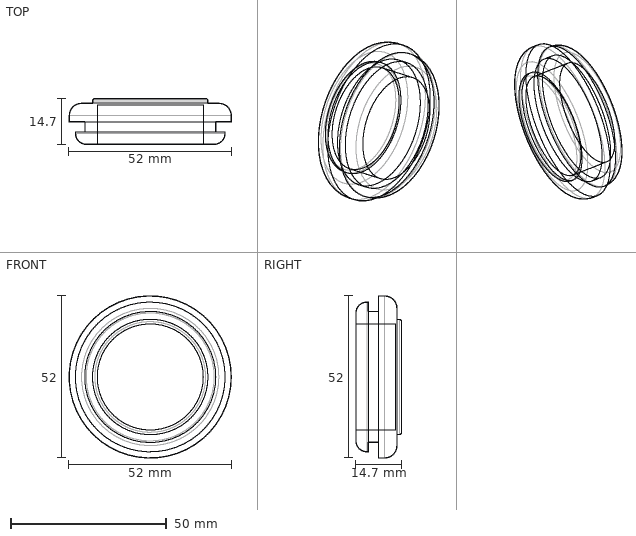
import cadquery as cq


flange_radius = 26.0
bead_radius = 24.0
neck_radius = 21.0
pad_radius = 18.5
bore_radius = 17.0

bead_length = 4.0
neck_length = 3.2
flange_length = 6.0
pad_length = 1.5
floor_thickness = 2.0

bead_fillet = 3.5
flange_fillet = 4.0
pad_fillet = 0.75

neck_start = bead_length
flange_start = neck_start + neck_length
pad_start = flange_start + flange_length
bore_depth = pad_start + pad_length - floor_thickness


def disc(radius, start, length):
    """Solid disc about the Y axis, reaching from start toward +Y."""
    plane = cq.Workplane("XZ", origin=(0, start, 0))
    return plane.circle(radius).extrude(-length)


bead = disc(bead_radius, 0, bead_length).faces("<Y").edges().fillet(bead_fillet)

neck = disc(neck_radius, neck_start, neck_length)

flange = disc(flange_radius, flange_start, flange_length).faces(">Y").edges().fillet(flange_fillet)

pad = disc(pad_radius, pad_start, pad_length).faces(">Y").edges().fillet(pad_fillet)

bore = disc(bore_radius, 0, bore_depth)

result = bead.union(neck).union(flange).union(pad).cut(bore)